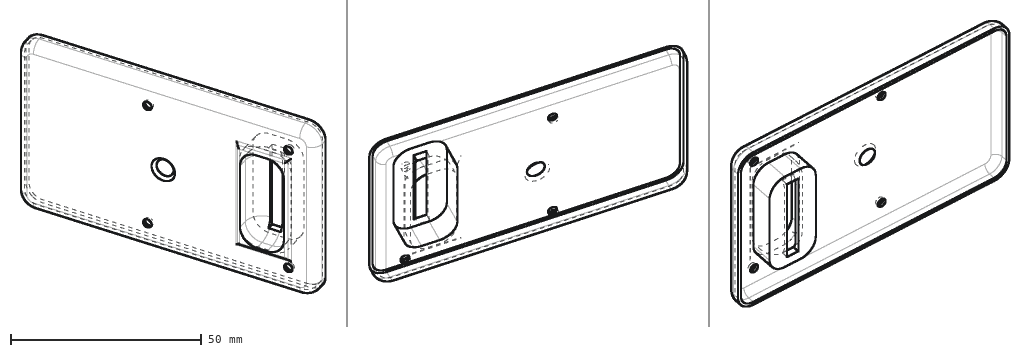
import cadquery as cq
import math

plate_width = 90.0
plate_height = 54.0
plate_thickness = 5.0
corner_radius = 5.0
front_edge_radius = 3.1
skin = 1.0

total_depth = 9.0
pad_rise = 1.0
cup_x = 29.2
cup_corner_radius = 5.0
boss_width = 15.3
boss_height = 31.95
wall = 1.1
cavity_width = boss_width - 2 * wall
cavity_height = boss_height - 2 * wall
slot_width = 3.7
slot_height = 25.7

pad_top_width = 13.5
pad_top_height = 30.2
pad_side_run = 1.6

screw_diameter = 2.5
screw_columns = (-5.8, 36.5)
screw_z = 18.9
center_hole_x = -1.0
center_hole_diameter = 5.0
center_mouth_diameter = 7.0

back_y = total_depth / 2
pad_top_y = -back_y
plate_front_y = pad_top_y + pad_rise
plate_back_y = plate_front_y + plate_thickness
skin_back_y = plate_front_y + skin
cavity_floor_y = back_y - wall


def block(width, height, front, back, x=0):
    """Box centred on Z = 0, spanning front to back along Y."""
    return cq.Workplane("XY").box(width, back - front, height).translate((x, (front + back) / 2, 0))


def make_plate():
    body = block(plate_width, plate_height, plate_front_y, plate_back_y)
    body = body.edges("|Y").fillet(corner_radius)
    return body.faces("<Y").edges().fillet(front_edge_radius)


def make_plate_hollow():
    """Space behind the plate's front, one skin inside its outer surface."""
    body = block(plate_width - 2 * skin, plate_height - 2 * skin, skin_back_y, plate_back_y)
    body = body.edges("|Y").fillet(corner_radius - skin)
    return body.faces("<Y").edges().fillet(front_edge_radius - skin)


def pad_profile(plane, top_size, length):
    """Pad cross-section, symmetric about the plane's Y axis, extruded both ways."""
    half_run = pad_side_run / 2
    half_rise = pad_rise / 2
    radius = (half_run**2 + half_rise**2) / (2 * half_rise)
    half_angle = math.asin(half_run / radius) / 2
    bulge_run = radius * math.sin(half_angle)
    bulge_rise = radius * (1 - math.cos(half_angle))
    top = top_size / 2
    base = top + pad_side_run
    middle = top + half_run
    middle_y = plate_front_y - half_rise
    convex = (top + bulge_run, pad_top_y + bulge_rise)
    concave = (base - bulge_run, plate_front_y - bulge_rise)
    return (
        cq.Workplane(plane)
        .moveTo(-top, pad_top_y)
        .lineTo(top, pad_top_y)
        .threePointArc(convex, (middle, middle_y))
        .threePointArc(concave, (base, plate_front_y))
        .lineTo(base, skin_back_y)
        .lineTo(-base, skin_back_y)
        .lineTo(-base, plate_front_y)
        .threePointArc((-concave[0], concave[1]), (-middle, middle_y))
        .threePointArc((-convex[0], convex[1]), (-top, pad_top_y))
        .close()
        .extrude(length / 2, both=True)
    )


def make_pad():
    """Intersect the two cross-sections so that the sides meet in mitred corners."""
    across = pad_profile("XY", pad_top_width, plate_height)
    upright_plane = cq.Plane(origin=(0, 0, 0), xDir=(0, 0, 1), normal=(-1, 0, 0))
    along = pad_profile(upright_plane, pad_top_height, plate_width)
    return across.intersect(along).translate((cup_x, 0, 0))


def make_boss():
    body = block(boss_width, boss_height, plate_front_y, back_y, cup_x)
    return body.edges("|Y").fillet(cup_corner_radius)


def make_cavity():
    body = block(cavity_width, cavity_height, pad_top_y, cavity_floor_y, cup_x)
    body = body.edges("|Y").fillet(cup_corner_radius)
    return body.faces(">Y").edges().fillet(cup_corner_radius)


def make_holes():
    front = cq.Workplane("XZ", origin=(0, plate_front_y, 0))
    screw_points = [(x, z) for x in screw_columns for z in (-screw_z, screw_z)]
    screws = front.pushPoints(screw_points).circle(screw_diameter / 2).extrude(-skin)
    center = (
        front.center(center_hole_x, 0)
        .circle(center_mouth_diameter / 2)
        .workplane(offset=-skin)
        .circle(center_hole_diameter / 2)
        .loft()
    )
    return screws.union(center)


slot = block(slot_width, slot_height, pad_top_y, back_y, cup_x)

result = make_plate().cut(make_plate_hollow()).union(make_pad()).union(make_boss())
result = result.cut(make_cavity()).cut(slot).cut(make_holes())